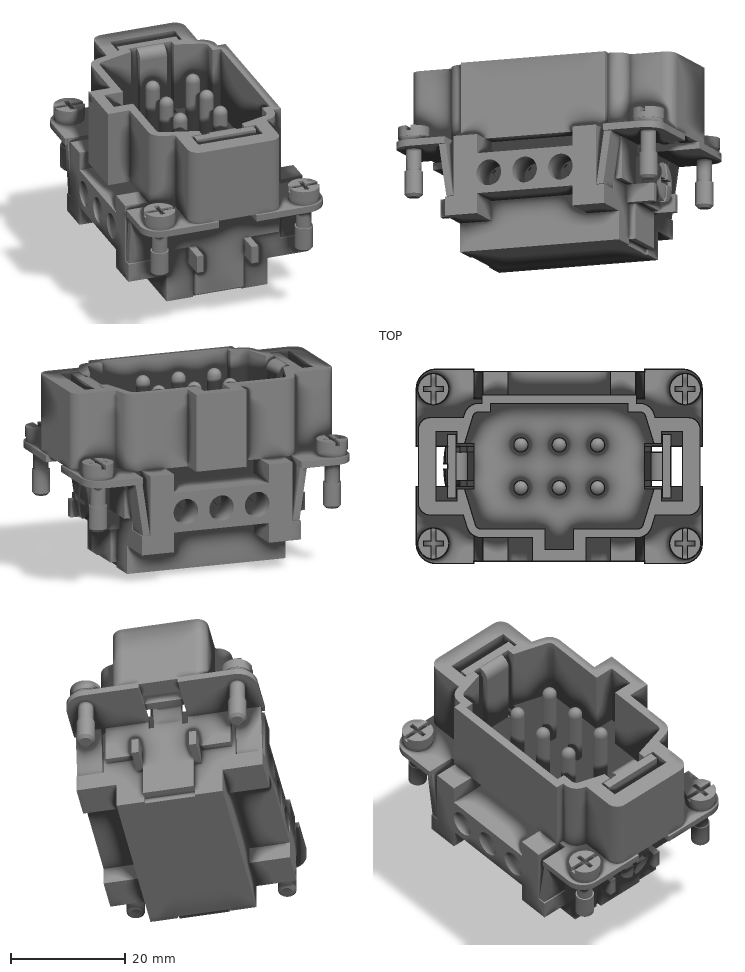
import cadquery as cq
import math


total_height = 33.1
plate_top = 19.2
plate_thickness = 1.2
plate_bottom = plate_top - plate_thickness
cavity_floor = 20.6
wide_body_bottom = 5.1
terminal_wall_bottom = 8.65
terminal_wall_top = 15.8
end_block_bottom = 10.5
end_bar_bottom = 1.0

plate_length = 50.0
plate_width = 34.0
plate_corner_radius = 3.5
plate_inner_x = 14.9
plate_notch_half_width = 3.5
screw_x = 22.0
screw_y = 13.5
slot_width = 0.85

body_half_length = plate_inner_x
body_half_width = 16.6
tab_outer_x = 13.35
tab_inner_x = 8.95
base_half_width = 9.45
tab_pocket_bottom = 8.5
tab_pocket_inner_y = 11.8
wire_bay_inner_y = 9.3
end_face_x = 16.1
end_block_half_width = 11.15
end_bar_half_width = 4.5
end_notch_depth = 0.4
lug_outer_x = 20.0
lug_outer_y = 5.75
lug_bottom = 7.3

wall = 1.5
shroud_half_length = 24.6
shroud_end_half_width = 8.5
shroud_corner_radius = 2.0
shoulder_x = 16.75
shoulder_taper = 0.3
shoulder_radius = 2.55
shroud_front_y = 12.45
shroud_back_y = 11.0
back_step_x = 13.5
back_step_y = 12.5
front_key_half_width = 4.7
front_key_y = 16.5
key_slot_half_width = 2.45
key_wall = 2.0
latch_slot_inner_x = 17.9
latch_slot_outer_x = 21.5
latch_slot_half_width = 6.05
latch_opening_half_width = 4.0

bar_inner_x = 18.0
bar_outer_x = 19.5
bar_half_width = 5.55
latch_step = 0.1
bar_top = total_height - latch_step
latch_half_width = 2.5
latch_top = bar_top - latch_step
latch_foot = 17.35
side_relief_bottom = 16.5

contact_pitch = 6.7
contact_row_y = 3.75
pin_radius = 1.25
pin_tip = 31.9
pin_root = 1.0
terminal_hole_radius = 2.3
terminal_hole_z = 12.2
terminal_hole_depth = 6.0
terminal_recess_depth = 0.8
terminal_recess_width = 0.8
terminal_recess_margin = 0.4

earth_z = 11.7
earth_washer_half_size = 4.2
earth_washer_corner = 0.6
earth_washer_face_x = 17.3
earth_head_radius = 3.45
earth_head_x = 20.2
earth_head_dome = 0.35
earth_slot_depth = 1.2
earth_cross_length = 4.7
earth_cross_width = 1.0

mirror_signs = (-1, 1)
contact_columns = (-contact_pitch, 0, contact_pitch)


def block(x0, x1, y0, y1, z0, z1):
    """A box between two opposite corners."""
    return cq.Workplane("XY").box(x1 - x0, y1 - y0, z1 - z0, centered=False).translate((x0, y0, z0))


def centred_block(half_x, half_y, z0, z1):
    """A box centred on the Z axis."""
    return block(-half_x, half_x, -half_y, half_y, z0, z1)


def end_pair(x0, x1, half_width, z0, z1):
    """Equal boxes on both ends of the part, centred across the width."""
    pair = block(x0, x1, -half_width, half_width, z0, z1)
    return pair.union(pair.mirror("YZ"))


def at_four_corners(shape):
    """A shape together with its mirror images in X and in Y."""
    pair = shape.union(shape.mirror("YZ"))
    return pair.union(pair.mirror("XZ"))


def cylinder(x, y, radius, z0, z1):
    return cq.Workplane("XY").center(x, y).circle(radius).extrude(z1 - z0).translate((0, 0, z0))


def shoulder_prism(front_y, back_y, inset, corner_radius, z0, z1):
    """The tapered middle of the shroud, its sides moved inwards by `inset`."""
    side_x = shoulder_x - inset * math.hypot(1, shoulder_taper)
    front_x = side_x - shoulder_taper * (front_y - shroud_end_half_width)
    back_x = side_x - shoulder_taper * (back_y - shroud_end_half_width)
    waist_y = latch_opening_half_width
    waist_x = side_x + shoulder_taper * (shroud_end_half_width - waist_y)
    points = [
        (-front_x, -front_y), (front_x, -front_y), (waist_x, -waist_y), (waist_x, waist_y),
        (back_x, back_y), (-back_x, back_y), (-waist_x, waist_y), (-waist_x, -waist_y),
    ]
    prism = cq.Workplane("XY").polyline(points).close().extrude(z1 - z0).translate((0, 0, z0))
    return prism.edges("|Z and (>Y or <Y)").fillet(corner_radius)


def make_shroud():
    ends = centred_block(shroud_half_length, shroud_end_half_width, plate_top, total_height)
    ends = ends.edges("|Z").fillet(shroud_corner_radius)
    middle = shoulder_prism(shroud_front_y, shroud_back_y, 0, shoulder_radius, plate_top, total_height)
    back_step = block(-back_step_x, back_step_x, 0, back_step_y, plate_top, total_height)
    key = block(-front_key_half_width, front_key_half_width, -front_key_y, 0, plate_top, total_height)
    shroud = ends.union(middle).union(back_step).union(key)

    cavity = shoulder_prism(
        shroud_front_y - wall, shroud_back_y - wall, wall, shoulder_radius - wall, cavity_floor, total_height
    )
    back_recess_x = back_step_x - wall
    back_recess = block(-back_recess_x, back_recess_x, 0, back_step_y - wall, cavity_floor, total_height)
    key_slot = block(
        -key_slot_half_width, key_slot_half_width, key_wall - front_key_y, 0, cavity_floor, total_height
    )
    latch_slots = end_pair(
        latch_slot_inner_x, latch_slot_outer_x, latch_slot_half_width, plate_top, total_height
    )
    latch_openings = end_pair(
        plate_inner_x, latch_slot_outer_x, latch_opening_half_width, plate_top, total_height
    )
    return shroud.cut(cavity).cut(back_recess).cut(key_slot).cut(latch_slots).cut(latch_openings)


def make_body():
    base = centred_block(body_half_length, base_half_width, 0, plate_top)
    wide = centred_block(body_half_length, body_half_width, wide_body_bottom, plate_top)
    end_block = centred_block(end_face_x, end_block_half_width, end_block_bottom, plate_bottom)
    body = base.union(wide).union(end_block)

    bays = (
        (base_half_width, wide_body_bottom, terminal_wall_bottom),
        (wire_bay_inner_y, terminal_wall_top, plate_top),
    )
    for inner_y, z0, z1 in bays:
        bay = block(-tab_inner_x, tab_inner_x, inner_y, body_half_width, z0, z1)
        body = body.cut(bay).cut(bay.mirror("XZ"))

    corner_pocket = block(
        tab_outer_x, body_half_length, tab_pocket_inner_y, body_half_width, tab_pocket_bottom, plate_top
    )
    body = body.cut(at_four_corners(corner_pocket))

    end_notches = end_pair(
        body_half_length - end_notch_depth, body_half_length, end_bar_half_width, 0, end_bar_bottom
    )
    end_bar = centred_block(end_face_x, end_bar_half_width, end_bar_bottom, end_block_bottom)
    lug = block(body_half_length, lug_outer_x, end_bar_half_width, lug_outer_y, lug_bottom, end_block_bottom)
    body = body.cut(end_notches).union(end_bar).union(at_four_corners(lug))

    relief = end_pair(body_half_length, end_face_x, plate_notch_half_width, latch_foot, plate_bottom)
    side_relief = block(
        body_half_length, end_face_x, latch_half_width, plate_notch_half_width,
        side_relief_bottom, plate_bottom,
    )
    return body.cut(relief).cut(at_four_corners(side_relief))


def make_plates():
    plate = centred_block(plate_length / 2, plate_width / 2, plate_bottom, plate_top)
    plate = plate.edges("|Z").fillet(plate_corner_radius)
    plate = plate.cut(centred_block(plate_inner_x, plate_width / 2, plate_bottom, plate_top))
    return plate.cut(
        end_pair(plate_inner_x, plate_length / 2, plate_notch_half_width, plate_bottom, plate_top)
    )


def make_plate_leg():
    """A leg bent down and inwards from the plate into a corner pocket of the body."""
    leg_width = 4.55
    leg_clearance = 0.15
    leg_top_x = 16.1
    leg_bottom_x = 14.7
    leg_thickness = 1.28
    leg_bottom = 8.6
    outline = [
        (leg_top_x, plate_bottom),
        (leg_bottom_x, leg_bottom),
        (leg_bottom_x - leg_thickness, leg_bottom),
        (leg_top_x - leg_thickness, plate_bottom),
        (plate_inner_x, plate_top),
        (leg_top_x, plate_top),
    ]
    leg = cq.Workplane("XZ").polyline(outline).close().extrude(-leg_width)
    return leg.translate((0, tab_pocket_inner_y + leg_clearance, 0))


def make_plate_screw():
    washer_radius = 2.65
    washer_top = 20.0
    head_radius = 2.75
    head_top = 21.9
    shank_radius = 1.35
    thread_radius = 1.6
    thread_top = 14.1
    thread_bottom = 10.0
    tip_radius = 1.1
    tip_bottom = 9.5
    slot_depth = 0.9
    short_slot_length = 3.5

    profile = [
        (0, tip_bottom), (tip_radius, tip_bottom), (thread_radius, thread_bottom),
        (thread_radius, thread_top), (shank_radius, thread_top), (shank_radius, plate_top),
        (washer_radius, plate_top), (washer_radius, washer_top), (head_radius, washer_top),
        (head_radius, head_top), (0, head_top),
    ]
    screw = cq.Workplane("XZ").polyline(profile).close().revolve(360, (0, 0, 0), (0, 1, 0))
    long_slot = centred_block(slot_width / 2, head_radius, head_top - slot_depth, head_top)
    short_slot = centred_block(short_slot_length / 2, slot_width / 2, head_top - slot_depth, head_top)
    return screw.cut(long_slot).cut(short_slot).translate((screw_x, screw_y, 0))


def make_latch():
    """The +X holding bar with its spring leaf, which curves over the top and kicks inwards at the foot."""
    leaf_inner_x = 16.05
    leaf_thickness = 1.15
    leaf_outer_x = leaf_inner_x + leaf_thickness
    crown_bottom = 31.3
    crown_mid = (16.6, 32.45)
    kick_top = 19.3
    bar = block(bar_inner_x, bar_outer_x, -bar_half_width, bar_half_width, plate_top, bar_top)
    leaf = (
        cq.Workplane("XZ")
        .moveTo(bar_inner_x, latch_top)
        .threePointArc(crown_mid, (leaf_inner_x, crown_bottom))
        .lineTo(leaf_inner_x, kick_top)
        .lineTo(plate_inner_x, latch_foot)
        .lineTo(plate_inner_x + leaf_thickness, latch_foot)
        .lineTo(leaf_outer_x, kick_top)
        .lineTo(leaf_outer_x, crown_bottom)
        .lineTo(bar_inner_x, crown_bottom)
        .close()
        .extrude(latch_half_width, both=True)
    )
    return bar.union(leaf)


def make_pin(x, y):
    shoulder_z = pin_tip - pin_radius
    tip = cq.Workplane("XY").sphere(pin_radius).translate((x, y, shoulder_z))
    return cylinder(x, y, pin_radius, cavity_floor - pin_root, shoulder_z).union(tip)


def make_terminal_hole(x):
    """The +Y hole over one clamping screw, ending in that screw's diagonal cross recess."""
    bottom_y = body_half_width - terminal_hole_depth
    hole = cq.Workplane("XZ").circle(terminal_hole_radius).extrude(-terminal_hole_depth)
    recess_length = 2 * terminal_hole_radius - terminal_recess_margin
    for angle in (45, 135):
        arm = cq.Workplane("XZ").rect(recess_length, terminal_recess_width).extrude(terminal_recess_depth)
        hole = hole.union(arm.rotate((0, 0, 0), (0, 1, 0), angle))
    return hole.translate((x, bottom_y, terminal_hole_z))


def make_earth_screw():
    end_plane = cq.Workplane("YZ", origin=(-end_face_x, 0, earth_z))
    washer = end_plane.rect(2 * earth_washer_half_size, 2 * earth_washer_half_size)
    washer = washer.extrude(end_face_x - earth_washer_face_x).edges("|X").chamfer(earth_washer_corner)
    head = (
        cq.Workplane("XZ")
        .moveTo(-end_face_x, 0)
        .lineTo(-end_face_x, earth_head_radius)
        .lineTo(-earth_head_x + earth_head_dome, earth_head_radius)
        .threePointArc(
            (-earth_head_x + earth_head_dome / 4, earth_head_radius / 2),
            (-earth_head_x, 0),
        )
        .close()
        .revolve(360, (0, 0, 0), (1, 0, 0))
        .translate((0, 0, earth_z))
    )

    slot_floor_x = -earth_head_x + earth_slot_depth
    slot_plane = cq.Workplane("YZ", origin=(slot_floor_x, 0, earth_z))
    long_slot = slot_plane.rect(slot_width, 2 * earth_head_radius).extrude(-earth_slot_depth)
    cross_slot = slot_plane.rect(earth_cross_length, earth_cross_width).extrude(-earth_slot_depth)
    return washer.union(head.cut(long_slot).cut(cross_slot))


part = make_body().union(make_shroud()).union(make_plates())
part = part.union(at_four_corners(make_plate_leg())).union(at_four_corners(make_plate_screw()))

latch = make_latch()
part = part.union(latch).union(latch.mirror("YZ"))

for column_x in contact_columns:
    for row in mirror_signs:
        part = part.union(make_pin(column_x, row * contact_row_y))
    terminal_hole = make_terminal_hole(column_x)
    part = part.cut(terminal_hole).cut(terminal_hole.mirror("XZ"))

result = part.union(make_earth_screw())